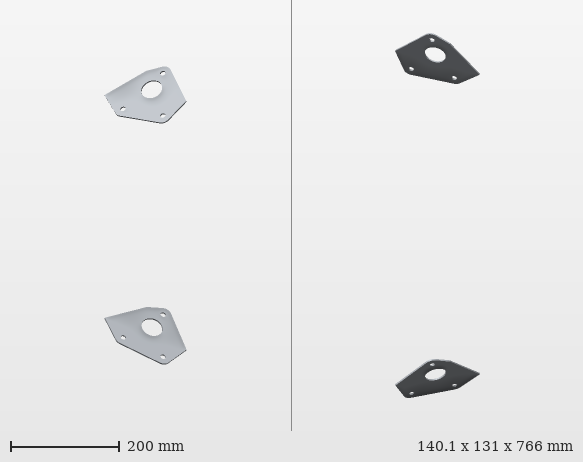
import cadquery as cq

overall_height = 766.0
tilt_angle = 15.0
uphill_direction = 45.0

thickness = 3.0
corner_radius = 15.0
left_corner = (-72.0, -47.5)
left_shoulder = (-43.0, 37.0)
top_corner = (-16.0, 70.0)
right_shoulder = (70.0, 30.0)
right_corner = (70.5, -30.0)
bottom_corner = (-20.0, -67.5)
rounded_corners = [top_corner, right_corner, bottom_corner]

bore_diameter = 40.0
bore_center = (-4.5, 12.0)
bolt_hole_diameter = 10.0
bolt_hole_centers = [(-12.0, 50.5), (55.0, -19.0), (-20.0, -50.5)]


def make_flat_plate():
    """Six-sided plate with three rounded corners, a bore and three bolt holes."""
    outline = [left_corner, left_shoulder, top_corner, right_shoulder, right_corner, bottom_corner]
    plate = cq.Workplane("XY").polyline(outline).close().extrude(thickness)
    for corner in rounded_corners:
        corner_edge = cq.selectors.NearestToPointSelector((*corner, thickness / 2))
        plate = plate.edges("|Z").edges(corner_edge).fillet(corner_radius)
    bore = cq.Workplane("XY").center(*bore_center).circle(bore_diameter / 2).extrude(thickness)
    bolt_holes = (
        cq.Workplane("XY").pushPoints(bolt_hole_centers).circle(bolt_hole_diameter / 2).extrude(thickness)
    )
    return plate.cut(bore).cut(bolt_holes)


def make_upper_plate():
    """Tilt the plate uphill and raise its highest point to half the overall height."""
    origin = (0, 0, 0)
    z_axis = (0, 0, 1)
    tilted = (
        make_flat_plate()
        .rotate(origin, z_axis, -uphill_direction)
        .rotate(origin, (0, 1, 0), -tilt_angle)
        .rotate(origin, z_axis, uphill_direction)
    )
    highest_point = tilted.val().BoundingBox().zmax
    return tilted.translate((0, 0, overall_height / 2 - highest_point))


upper_plate = make_upper_plate()
plates = [upper_plate, upper_plate.mirror("XY")]

result = cq.Compound.makeCompound([plate.val() for plate in plates])